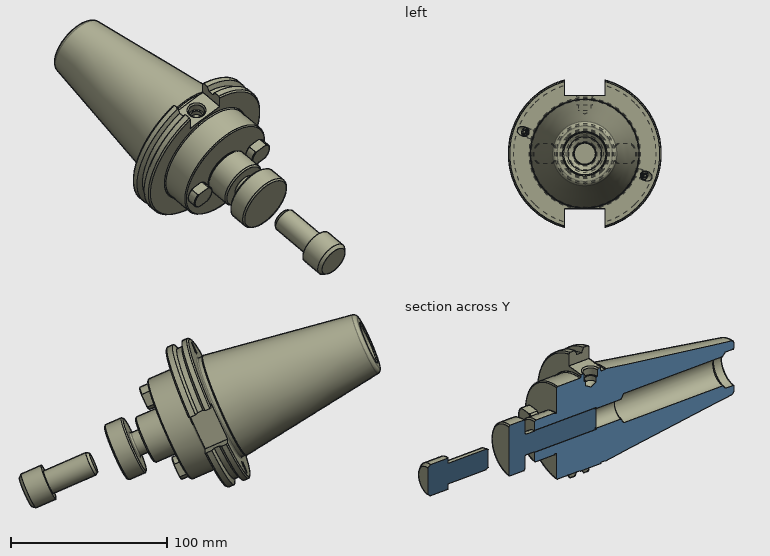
import cadquery as cq
import math


FLANGE_REAR = 104.8
FLANGE_FRONT = 120.7
FLANGE_CENTRE = (FLANGE_REAR + FLANGE_FRONT) / 2
TAPER_END = 101.0
NECK_START = 101.7
BODY_END = 139.8
SPIGOT_END = 157.0

TAPER_SMALL_D = 40.5
GAUGE_D = 70.0
NECK_D = 69.2
FLANGE_D = 98.0
BODY_D = 70.1
SPIGOT_D = 31.8
SPIGOT_RELIEF_D = 30.4

TAPER_END_FILLET = 3.0
FLANGE_CHAMFER = 1.0
FLANGE_ROOT_FILLET = 0.7
BODY_CHAMFER = 0.7
SPIGOT_CHAMFER = 1.0
SPIGOT_RELIEF_WIDTH = 1.0

GROOVE_CENTRE = 112.5
GROOVE_MOUTH_WIDTH = 6.7
GROOVE_FLOOR_WIDTH = 3.5
GROOVE_DEPTH = 3.4

SLOT_WIDTH = 25.8
UPPER_SLOT_FLOOR = 37.4
LOWER_SLOT_FLOOR = 35.5

SLOT_HOLE_MOUTH_D = 12.0
SLOT_HOLE_D = 10.1
SLOT_HOLE_DEPTH = 6.0
SLOT_HOLE_PILOT_D = 8.0
SLOT_HOLE_PILOT_DEPTH = 9.6
DRILL_POINT_ANGLE = 59

BORE_MOUTH_D = 28.5
PILOT_D = 27.0
PILOT_DEPTH = 6.7
BORE_D = 21.7
BORE_DEPTH = 86.7
PILOT_STEP_LENGTH = 2.5
BORE_CONE_LENGTH = 2.2
SCREW_CORE_D = 14.5

COOLANT_RADIUS = 42.0
COOLANT_TURNS = (20, 200)
COOLANT_TILT = 40
GRUB_D = 6.0
GRUB_LENGTH = 6.0
GRUB_RECESS = 1.7
GRUB_SOCKET = 3.0
GRUB_SOCKET_DEPTH = 2.5
GRUB_CHAMFER = 0.5

KEY_D = 15.7
KEY_FLATS = 12.8
KEY_HEIGHT = 6.5
KEY_OFFSET = 25.3
KEY_CHAMFER = 0.5

SCREW_D = 16.0
SCREW_TIP_D = 13.5
SCREW_TIP_LENGTH = 1.2
CLAMP_HEAD_START = 164.3
CLAMP_HEAD_END = 177.4
CLAMP_HEAD_D = 38.5
CLAMP_HEAD_CHAMFER = 1.0
CLAMP_FILLET = 1.2
CLAMP_TIP = 108.5

CAP_TIP = 193.3
CAP_TIP_D = 13.5
CAP_TIP_LENGTH = 2.0
CAP_HEAD_START = 224.8
CAP_END = 241.0
CAP_HEAD_D = 23.9
CAP_END_D = 20.2
CAP_BEVEL_LENGTH = 2.2


def turned(points):
    """Revolve a closed (x, radius) outline about the X axis."""
    return cq.Workplane("XY").polyline(points).close().revolve(360, (0, 0, 0), (1, 0, 0))


def bored(stations):
    """Turn a stepped or tapered shape from (x, diameter) stations listed along the axis."""
    outline = [(x, diameter / 2) for x, diameter in stations]
    return turned([(stations[0][0], 0), *outline, (stations[-1][0], 0)])


def taper_and_neck():
    taper = bored([(0, TAPER_SMALL_D), (TAPER_END, GAUGE_D), (NECK_START, NECK_D), (FLANGE_REAR, NECK_D)])
    return taper.faces("<X").edges().fillet(TAPER_END_FILLET)


def gripper_groove():
    half_floor = GROOVE_FLOOR_WIDTH / 2
    half_mouth = GROOVE_MOUTH_WIDTH / 2
    rim = FLANGE_D / 2
    floor = rim - GROOVE_DEPTH
    return turned([
        (GROOVE_CENTRE - half_floor, floor),
        (GROOVE_CENTRE + half_floor, floor),
        (GROOVE_CENTRE + half_mouth, rim),
        (GROOVE_CENTRE - half_mouth, rim),
    ])


def slot_cutter(floor, side):
    """Box that cuts a drive slot down to its floor; side is +1 above the axis and -1 below."""
    height = FLANGE_D / 2
    return cq.Workplane("XY").box(
        FLANGE_FRONT - FLANGE_REAR, SLOT_WIDTH, height
    ).translate((FLANGE_CENTRE, 0, side * (floor + height / 2)))


def flange():
    disc = bored([(FLANGE_REAR, FLANGE_D), (FLANGE_FRONT, FLANGE_D)]).edges().chamfer(FLANGE_CHAMFER)
    return (
        disc.cut(gripper_groove())
        .cut(slot_cutter(UPPER_SLOT_FLOOR, 1))
        .cut(slot_cutter(LOWER_SLOT_FLOOR, -1))
    )


def front_body():
    body = bored([(FLANGE_FRONT, BODY_D), (BODY_END, BODY_D)])
    return body.faces(">X").edges().chamfer(BODY_CHAMFER)


def spigot():
    relief_end = BODY_END + SPIGOT_RELIEF_WIDTH
    stub = bored([
        (BODY_END, SPIGOT_RELIEF_D),
        (relief_end, SPIGOT_RELIEF_D),
        (relief_end, SPIGOT_D),
        (SPIGOT_END, SPIGOT_D),
    ])
    return stub.faces(">X").edges().chamfer(SPIGOT_CHAMFER)


def housing_bore():
    mouth_chamfer = (BORE_MOUTH_D - PILOT_D) / 2
    return bored([
        (0, BORE_MOUTH_D),
        (mouth_chamfer, PILOT_D),
        (PILOT_DEPTH, PILOT_D),
        (PILOT_DEPTH + PILOT_STEP_LENGTH, BORE_D),
        (BORE_DEPTH, BORE_D),
        (BORE_DEPTH + BORE_CONE_LENGTH, SCREW_CORE_D),
        (CLAMP_TIP, SCREW_CORE_D),
        (CLAMP_TIP, SCREW_D),
        (SPIGOT_END, SCREW_D),
    ])


def slot_hole():
    """Chamfered, stepped hole with a drill point, sunk along -Z from the upper slot floor."""
    mouth_chamfer = (SLOT_HOLE_MOUTH_D - SLOT_HOLE_D) / 2
    pilot_radius = SLOT_HOLE_PILOT_D / 2
    point = pilot_radius / math.tan(math.radians(DRILL_POINT_ANGLE))
    profile = [
        (0, 0),
        (SLOT_HOLE_MOUTH_D / 2, 0),
        (SLOT_HOLE_D / 2, -mouth_chamfer),
        (SLOT_HOLE_D / 2, -SLOT_HOLE_DEPTH),
        (pilot_radius, -SLOT_HOLE_DEPTH),
        (pilot_radius, -SLOT_HOLE_PILOT_DEPTH),
        (0, -SLOT_HOLE_PILOT_DEPTH - point),
    ]
    hole = cq.Workplane("XZ").polyline(profile).close().revolve(360, (0, 0, 0), (0, 1, 0))
    return hole.translate((FLANGE_CENTRE, 0, UPPER_SLOT_FLOOR))


def in_coolant_hole(shape, turn):
    """Move a shape built along X into the sloping coolant hole at the given turn about the axis."""
    tilted = shape.rotate((0, 0, 0), (0, 0, 1), COOLANT_TILT)
    placed = tilted.translate((FLANGE_REAR, -COOLANT_RADIUS, 0))
    return placed.rotate((0, 0, 0), (1, 0, 0), turn)


def coolant_hole(turn):
    """Blind hole that starts outside the flange and ends where the grub screw ends."""
    hole = bored([(-GRUB_D, GRUB_D), (GRUB_RECESS + GRUB_LENGTH, GRUB_D)])
    return in_coolant_hole(hole, turn)


def round_flange_roots(body):
    """Fillet the corners where the neck and the front body meet the flange faces."""
    roots = ((FLANGE_REAR, NECK_D / 2), (FLANGE_FRONT, BODY_D / 2))
    for x, radius in roots:
        root = cq.selectors.BoxSelector(
            (x - FLANGE_ROOT_FILLET, -radius - FLANGE_ROOT_FILLET, -radius - FLANGE_ROOT_FILLET),
            (x + FLANGE_ROOT_FILLET, radius + FLANGE_ROOT_FILLET, radius + FLANGE_ROOT_FILLET),
            boundingbox=True,
        )
        body = body.edges(root).edges("%CIRCLE").fillet(FLANGE_ROOT_FILLET)
    return body


def make_housing():
    body = taper_and_neck().union(flange()).union(front_body())
    body = round_flange_roots(body).union(spigot())
    body = body.cut(housing_bore()).cut(slot_hole())
    for turn in COOLANT_TURNS:
        body = body.cut(coolant_hole(turn))
    return body


def make_grub_screw(turn):
    grub_end = GRUB_RECESS + GRUB_LENGTH
    screw = bored([(GRUB_RECESS, GRUB_D), (grub_end, GRUB_D)])
    screw = screw.faces("<X").edges().chamfer(GRUB_CHAMFER)
    socket = (
        cq.Workplane("YZ", origin=(GRUB_RECESS, 0, 0))
        .polygon(6, GRUB_SOCKET, circumscribed=True)
        .extrude(GRUB_SOCKET_DEPTH)
    )
    return in_coolant_hole(screw.cut(socket), turn)


def make_key(side):
    """Drive key on the front face, at +Y or -Y according to the sign of side."""
    stud = bored([(0, KEY_D), (KEY_HEIGHT, KEY_D)]).edges("%CIRCLE").chamfer(KEY_CHAMFER)
    between_flats = cq.Workplane("XY").box(2 * KEY_HEIGHT, KEY_D, KEY_FLATS)
    return stud.intersect(between_flats).translate((BODY_END, side * KEY_OFFSET, 0))


def make_clamp_screw():
    shank = bored([
        (CLAMP_TIP, SCREW_TIP_D),
        (CLAMP_TIP + SCREW_TIP_LENGTH, SCREW_D),
        (CLAMP_HEAD_START, SCREW_D),
    ])
    head = bored([(CLAMP_HEAD_START, CLAMP_HEAD_D), (CLAMP_HEAD_END, CLAMP_HEAD_D)])
    head = head.edges().chamfer(CLAMP_HEAD_CHAMFER)
    under_head = cq.selectors.BoxSelector(
        (CLAMP_HEAD_START - CLAMP_FILLET, -SCREW_D, -SCREW_D),
        (CLAMP_HEAD_START + CLAMP_FILLET, SCREW_D, SCREW_D),
        boundingbox=True,
    )
    return shank.union(head).edges(under_head).edges("%CIRCLE").fillet(CLAMP_FILLET)


def make_cap_screw():
    return bored([
        (CAP_TIP, CAP_TIP_D),
        (CAP_TIP + CAP_TIP_LENGTH, SCREW_D),
        (CAP_HEAD_START, SCREW_D),
        (CAP_HEAD_START, CAP_HEAD_D),
        (CAP_END - CAP_BEVEL_LENGTH, CAP_HEAD_D),
        (CAP_END, CAP_END_D),
    ])


housing = make_housing()
clamp_screw = make_clamp_screw()
cap_screw = make_cap_screw()
keys = [make_key(side) for side in (1, -1)]
grub_screws = [make_grub_screw(turn) for turn in COOLANT_TURNS]

result = cq.Compound.makeCompound([
    housing.val(),
    clamp_screw.val(),
    cap_screw.val(),
    *[key.val() for key in keys],
    *[screw.val() for screw in grub_screws],
])